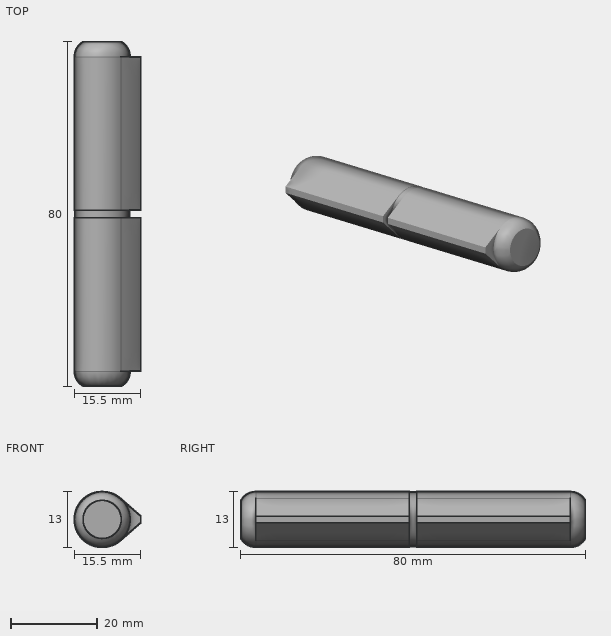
import cadquery as cq
import math

total_length = 80.0
barrel_radius = 6.5
washer_radius = 6.4
washer_thickness = 1.75
end_length = 3.5
end_round_radius = 4.0
fin_reach = 9.0
fin_tip_half_height = 0.75

half_length = total_length / 2
half_washer = washer_thickness / 2
shoulder_y = half_length - end_length
leaf_length = shoulder_y - half_washer


def end_radius_at(depth):
    """Radius of the rounded end at a given distance beyond the shoulder."""
    drop = end_round_radius - math.sqrt(end_round_radius**2 - depth**2)
    return barrel_radius - drop


def make_core():
    """Washer disc, both barrels and their rounded ends, as one revolved profile."""
    flat_radius = end_radius_at(end_length)
    mid_depth = end_length / 2
    mid_radius = end_radius_at(mid_depth)
    profile = (
        cq.Workplane("XY")
        .moveTo(0, -half_length)
        .lineTo(flat_radius, -half_length)
        .threePointArc((mid_radius, -shoulder_y - mid_depth), (barrel_radius, -shoulder_y))
        .lineTo(barrel_radius, -half_washer)
        .lineTo(washer_radius, -half_washer)
        .lineTo(washer_radius, half_washer)
        .lineTo(barrel_radius, half_washer)
        .lineTo(barrel_radius, shoulder_y)
        .threePointArc((mid_radius, shoulder_y + mid_depth), (flat_radius, half_length))
        .lineTo(0, half_length)
        .close()
    )
    return profile.revolve(360, (0, 0, 0), (0, 1, 0))


def make_fin(start_y):
    """Tapered weld fin whose flanks leave the barrel tangentially."""
    tip_distance = math.hypot(fin_reach, fin_tip_half_height)
    tip_angle = math.atan2(fin_tip_half_height, fin_reach)
    tangent_angle = tip_angle + math.acos(barrel_radius / tip_distance)
    tangent_x = barrel_radius * math.cos(tangent_angle)
    tangent_z = barrel_radius * math.sin(tangent_angle)
    return (
        cq.Workplane("XZ", origin=(0, start_y, 0))
        .moveTo(0, 0)
        .lineTo(tangent_x, tangent_z)
        .lineTo(fin_reach, fin_tip_half_height)
        .lineTo(fin_reach, -fin_tip_half_height)
        .lineTo(tangent_x, -tangent_z)
        .close()
        .extrude(-leaf_length)
    )


result = make_core()
for fin_start_y in (-shoulder_y, half_washer):
    result = result.union(make_fin(fin_start_y))